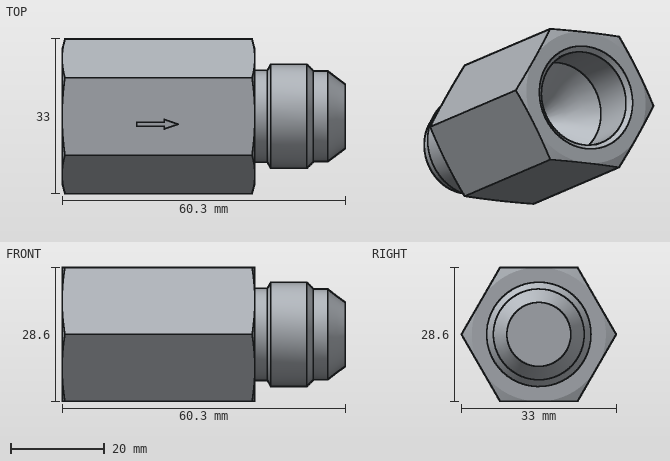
import cadquery as cq
import math

hex_sides = 6
across_flats = 28.575
across_corners = across_flats / math.cos(math.pi / hex_sides)
hex_length = 41.03
hex_chamfer_angle = 15.0
overall_length = 60.33

neck_diameter = 19.68
thread_diameter = 22.23
nose_diameter = 19.36
thread_start = 44.45
thread_end = 53.52
thread_relief_angle = 30.0
flare_angle = 37.0
flare_length = 3.8

bore_diameter = 20.27
bore_mouth_diameter = 22.35
bore_depth = 12.7
mouth_angle = 45.0
bottom_cone_angle = 74.0

arrow_tail_x = 15.9
arrow_length = 8.8
arrow_head_length = 3.0
arrow_head_width = 2.05
arrow_shaft_width = 0.9
arrow_center_y = -1.67
arrow_depth = 0.15


def revolve_about_x(profile):
    """Turn a profile of (x, radius) points about the X axis."""
    return cq.Workplane("XY").polyline(profile).close().revolve(360, (0, 0, 0), (1, 0, 0))


def make_hex_body():
    """Hexagonal bar with flats at top and bottom and both ends chamfered down to the flats."""
    prism = cq.Workplane("YZ").polygon(hex_sides, across_corners).extrude(hex_length)
    flat_radius = across_flats / 2
    corner_radius = across_corners / 2
    chamfer_length = (corner_radius - flat_radius) * math.tan(math.radians(hex_chamfer_angle))
    envelope = revolve_about_x([
        (0, 0),
        (0, flat_radius),
        (chamfer_length, corner_radius),
        (hex_length - chamfer_length, corner_radius),
        (hex_length, flat_radius),
        (hex_length, 0),
    ])
    return prism.intersect(envelope)


def make_flare_end():
    """Neck, thread cylinder, plain nose and flare cone, on a core that runs back through the hexagon."""
    neck_radius = neck_diameter / 2
    thread_radius = thread_diameter / 2
    nose_radius = nose_diameter / 2
    relief_length = (thread_radius - neck_radius) * math.tan(math.radians(thread_relief_angle))
    lead_in_length = thread_radius - nose_radius
    tip_radius = nose_radius - flare_length * math.tan(math.radians(flare_angle))
    return revolve_about_x([
        (0, 0),
        (0, neck_radius),
        (thread_start - relief_length, neck_radius),
        (thread_start, thread_radius),
        (thread_end - lead_in_length, thread_radius),
        (thread_end, nose_radius),
        (overall_length - flare_length, nose_radius),
        (overall_length, tip_radius),
        (overall_length, 0),
    ])


def make_bore():
    """Blind bore with a chamfered mouth and a conical bottom."""
    bore_radius = bore_diameter / 2
    mouth_radius = bore_mouth_diameter / 2
    mouth_depth = (mouth_radius - bore_radius) / math.tan(math.radians(mouth_angle))
    point_length = bore_radius / math.tan(math.radians(bottom_cone_angle / 2))
    return revolve_about_x([
        (0, 0),
        (0, mouth_radius),
        (mouth_depth, bore_radius),
        (bore_depth, bore_radius),
        (bore_depth + point_length, 0),
    ])


def make_flow_arrow():
    """Arrow pocket in the top flat, pointing from the inlet to the flare end."""
    tip_x = arrow_tail_x + arrow_length
    head_x = tip_x - arrow_head_length
    shaft_half = arrow_shaft_width / 2
    head_half = arrow_head_width / 2
    return (
        cq.Workplane("XY", origin=(0, arrow_center_y, across_flats / 2))
        .polyline([
            (arrow_tail_x, -shaft_half),
            (head_x, -shaft_half),
            (head_x, -head_half),
            (tip_x, 0),
            (head_x, head_half),
            (head_x, shaft_half),
            (arrow_tail_x, shaft_half),
        ])
        .close()
        .extrude(-arrow_depth)
    )


result = make_hex_body().union(make_flare_end()).cut(make_bore()).cut(make_flow_arrow())